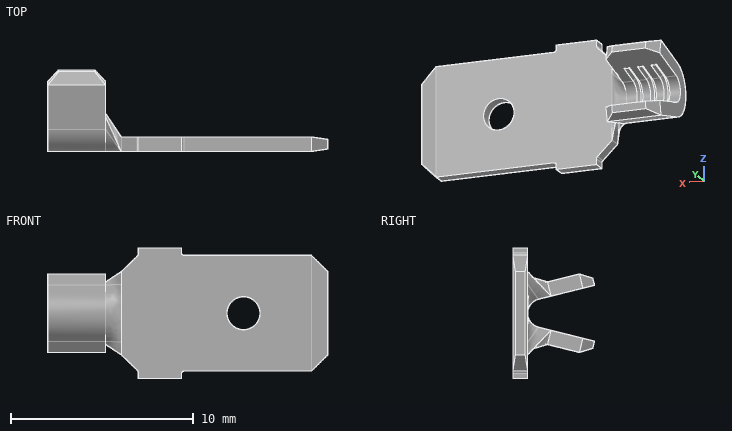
import cadquery as cq
import math

total_length = 15.32
sheet_thickness = 0.81
barrel_length = 3.17
neck_start = 4.03
shoulder_start = 4.95
shoulder_end = 7.32
shoulder_half_height = 3.57
blade_half_height = 3.17
neck_half_height = 2.28
shoulder_fillet = 0.18
blade_fillet = 0.14

tip_length = 0.9
tip_half_height = 2.28
tip_face_taper = 0.14

hole_x = 10.71
hole_diameter = 1.8

overall_depth = 4.47
bend_outer_radius = 1.6
bend_inner_radius = bend_outer_radius - sheet_thickness
bend_mid_radius = bend_outer_radius - sheet_thickness / 2
flare = math.radians(14)
wing_length = (
    overall_depth - bend_outer_radius + bend_inner_radius * math.sin(flare)
) / math.cos(flare)
wing_tip_length = 0.66
wing_corner_cut = 0.6
wing_tip_thickness = 0.41

neck_wing_length = neck_half_height - bend_mid_radius * (math.pi / 2 - flare)

groove_count = 3
groove_half_width = 0.17
groove_depth = 0.17
groove_wing_length = 1.35


def wing_point(radius, distance, side):
    """(y, z) on a wing: `distance` past the bend, on the surface of the given bend radius."""
    y = bend_outer_radius - radius * math.sin(flare) + distance * math.cos(flare)
    z = radius * math.cos(flare) + distance * math.sin(flare)
    return y, side * z


def bend_bottom(radius):
    return bend_outer_radius - radius, 0


def u_outline(x, length):
    """Closed U section of sheet thickness whose wings end square to the sheet."""
    return (
        cq.Workplane("YZ", origin=(x, 0, 0))
        .moveTo(*wing_point(bend_outer_radius, length, 1))
        .lineTo(*wing_point(bend_outer_radius, 0, 1))
        .threePointArc(bend_bottom(bend_outer_radius), wing_point(bend_outer_radius, 0, -1))
        .lineTo(*wing_point(bend_outer_radius, length, -1))
        .lineTo(*wing_point(bend_inner_radius, length, -1))
        .lineTo(*wing_point(bend_inner_radius, 0, -1))
        .threePointArc(bend_bottom(bend_inner_radius), wing_point(bend_inner_radius, 0, 1))
        .lineTo(*wing_point(bend_inner_radius, length, 1))
        .close()
    )


def flat_outline(x):
    """Flat sheet section, split where the bend of the U begins on each face."""
    bend_half_height = neck_half_height - neck_wing_length
    front_heights = (neck_half_height, bend_half_height, -bend_half_height, -neck_half_height)
    front = [(0, z) for z in front_heights]
    back = [(sheet_thickness, -z) for z in front_heights]
    return cq.Workplane("YZ", origin=(x, 0, 0)).polyline(front + back).close()


def make_tab():
    upper = [
        (neck_start, neck_half_height),
        (shoulder_start, blade_half_height),
        (shoulder_start, shoulder_half_height),
        (shoulder_end, shoulder_half_height),
        (shoulder_end, blade_half_height),
        (total_length - tip_length, blade_half_height),
        (total_length, tip_half_height),
    ]
    lower = [(x, -z) for x, z in reversed(upper)]
    tab = (
        cq.Workplane("XZ")
        .polyline(upper + lower)
        .close()
        .extrude(-sheet_thickness)
    )
    for corner_x, radius in ((shoulder_start, shoulder_fillet), (shoulder_end, blade_fillet)):
        for side in (1, -1):
            corner = (corner_x, sheet_thickness / 2, side * blade_half_height)
            tab = tab.edges(cq.selectors.NearestToPointSelector(corner)).fillet(radius)

    side_profile = (
        cq.Workplane("XY", origin=(0, 0, -shoulder_half_height))
        .polyline([
            (neck_start, 0),
            (total_length - tip_length, 0),
            (total_length, tip_face_taper),
            (total_length, sheet_thickness - tip_face_taper),
            (total_length - tip_length, sheet_thickness),
            (neck_start, sheet_thickness),
        ])
        .close()
        .extrude(2 * shoulder_half_height)
    )
    hole = (
        cq.Workplane("XZ", origin=(hole_x, 0, 0))
        .circle(hole_diameter / 2)
        .extrude(-sheet_thickness)
    )
    return tab.intersect(side_profile).cut(hole)


def make_neck():
    u_wire = u_outline(barrel_length, neck_wing_length).wire().val()
    flat_wire = flat_outline(neck_start).wire().val()
    return cq.Workplane(cq.Solid.makeLoft([u_wire, flat_wire], True))


def wing_plane(side):
    """Plane on the inner wing surface: local x along the barrel, local z out through the sheet."""
    return cq.Plane(
        origin=(0, *wing_point(bend_inner_radius, 0, side)),
        xDir=(1, 0, 0),
        normal=(0, -math.sin(flare), side * math.cos(flare)),
    )


def wing_tip_cutters(side):
    """Outer-face taper and the two corner cuts at the end of one wing."""
    along = side
    plane = wing_plane(side)
    tip_start = wing_length - wing_tip_length

    taper = (
        cq.Workplane("YZ")
        .polyline([
            wing_point(bend_outer_radius, tip_start, side),
            wing_point(bend_outer_radius, wing_length, side),
            wing_point(bend_inner_radius + wing_tip_thickness, wing_length, side),
        ])
        .close()
        .extrude(barrel_length)
    )
    cutters = [taper]
    for end_x, inward in ((0, 1), (barrel_length, -1)):
        corner = (
            cq.Workplane(plane)
            .polyline([
                (end_x, along * tip_start),
                (end_x, along * wing_length),
                (end_x + inward * wing_corner_cut, along * wing_length),
            ])
            .close()
            .extrude(sheet_thickness)
        )
        cutters.append(corner)
    return cutters


def make_groove(x):
    """V-shaped cutter that follows the inner surface of the U from wing to wing."""
    path = (
        cq.Workplane("YZ", origin=(x, 0, 0))
        .moveTo(*wing_point(bend_inner_radius, groove_wing_length, 1))
        .lineTo(*wing_point(bend_inner_radius, 0, 1))
        .threePointArc(bend_bottom(bend_inner_radius), wing_point(bend_inner_radius, 0, -1))
        .lineTo(*wing_point(bend_inner_radius, groove_wing_length, -1))
    )
    start = cq.Plane(
        origin=(x, *wing_point(bend_inner_radius, groove_wing_length, 1)),
        xDir=(1, 0, 0),
        normal=(0, -math.cos(flare), -math.sin(flare)),
    )
    return (
        cq.Workplane(start)
        .polyline([
            (-groove_half_width, 0),
            (groove_half_width, 0),
            (0, groove_depth),
        ])
        .close()
        .sweep(path)
    )


def make_barrel():
    barrel = u_outline(0, wing_length).extrude(barrel_length)
    for side in (1, -1):
        for cutter in wing_tip_cutters(side):
            barrel = barrel.cut(cutter)
    groove_pitch = barrel_length / (groove_count + 1)
    for index in range(groove_count):
        barrel = barrel.cut(make_groove((index + 1) * groove_pitch))
    return barrel


result = make_tab().union(make_neck()).union(make_barrel())